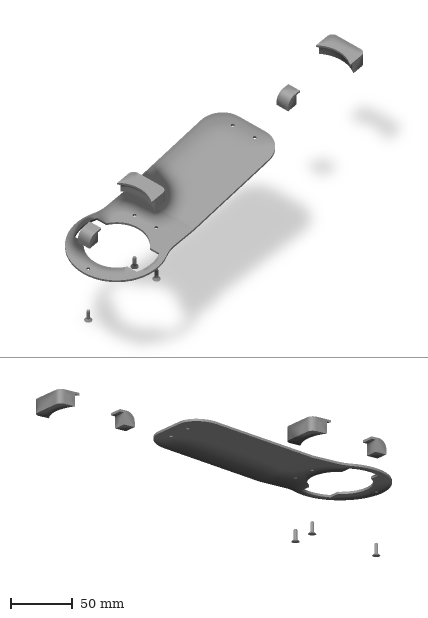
import cadquery as cq
import math


RING_RADIUS = 42.0
PADDLE_WIDTH = 72.0
PADDLE_END_Y = 171.5
PADDLE_CORNER_RADIUS = 22.0
NECK_BLEND_RADIUS = 33.5
BEND_Y = 53.8
BEND_ANGLE = 5.1
PLATE_THICKNESS = 2.0

OPENING_RADIUS = 27.0
NOTCH_RADIUS = 35.5
NOTCH_HEIGHT = 28.5

SCREW_RADIUS = 1.5
SCREW_TIP_RADIUS = 1.0
SCREW_TIP_LENGTH = 1.0
SCREW_HEAD_RADIUS = 3.5
SCREW_HEAD_HEIGHT = 2.0
SCREW_LENGTH = 10.8
SCREW_BOTTOM_Z = -56.8
SCREW_X = 11.5
SCREW_Y = 36.3
PADDLE_HOLE_Y = 161.0

GRIP_HEIGHT = 12.5
LIP_THICKNESS = 2.0
CLIP_WIDTH = 36.0
CLIP_CORNER_RADIUS = 5.5
CLIP_LIP_RADIUS = 28.5
CLIP_BLOCK_RADIUS = 32.0
HOOK_WIDTH = 12.0
HOOK_LENGTH = 14.8
HOOK_LIP_LENGTH = 4.0
HOOK_ROUND_RADIUS = 8.0

RAISED_PAIR = (0, 0, 29.5)
DISTANT_PAIR = (0, 252.0, 0)
PAIR_POSITIONS = [RAISED_PAIR, DISTANT_PAIR]

SCREW_POINTS = [(-SCREW_X, SCREW_Y), (SCREW_X, SCREW_Y), (0, -SCREW_Y)]
PADDLE_HOLE_POINTS = [(-SCREW_X, PADDLE_HOLE_Y), (SCREW_X, PADDLE_HOLE_Y)]


def paddle_rise(y):
    """Height of the plate's top surface at a distance y beyond the bend."""
    return (y - BEND_Y) * math.tan(math.radians(BEND_ANGLE))


PADDLE_END_Z = paddle_rise(PADDLE_END_Y)
CUT_BOTTOM_Z = -2 * PLATE_THICKNESS
CUT_HEIGHT = PADDLE_END_Z - 2 * CUT_BOTTOM_Z


def make_bent_sheet():
    """Sheet of even thickness, flat up to the bend and sloping upward after it."""
    half_angle = math.radians(BEND_ANGLE / 2)
    slope = math.radians(BEND_ANGLE)
    inner_bend_y = BEND_Y + PLATE_THICKNESS * math.tan(half_angle)
    end_bottom_z = PADDLE_END_Z - PLATE_THICKNESS / math.cos(slope)
    profile = [
        (-RING_RADIUS, 0),
        (BEND_Y, 0),
        (PADDLE_END_Y, PADDLE_END_Z),
        (PADDLE_END_Y, end_bottom_z),
        (inner_bend_y, -PLATE_THICKNESS),
        (-RING_RADIUS, -PLATE_THICKNESS),
    ]
    return cq.Workplane("YZ").polyline(profile).close().extrude(RING_RADIUS, both=True)


def make_plate_outline():
    """Upright prism with the plan outline of the plate."""
    half_width = PADDLE_WIDTH / 2
    blend_x = half_width + NECK_BLEND_RADIUS
    blend_y = math.sqrt((RING_RADIUS + NECK_BLEND_RADIUS) ** 2 - blend_x**2)
    ring_share = RING_RADIUS / (RING_RADIUS + NECK_BLEND_RADIUS)
    touch_x = blend_x * ring_share
    touch_y = blend_y * ring_share
    corner_x = half_width - PADDLE_CORNER_RADIUS
    corner_y = PADDLE_END_Y - PADDLE_CORNER_RADIUS
    return (
        cq.Workplane("XY", origin=(0, 0, CUT_BOTTOM_Z))
        .moveTo(touch_x, touch_y)
        .threePointArc((0, -RING_RADIUS), (-touch_x, touch_y))
        .radiusArc((-half_width, blend_y), -NECK_BLEND_RADIUS)
        .lineTo(-half_width, corner_y)
        .radiusArc((-corner_x, PADDLE_END_Y), PADDLE_CORNER_RADIUS)
        .lineTo(corner_x, PADDLE_END_Y)
        .radiusArc((half_width, corner_y), PADDLE_CORNER_RADIUS)
        .lineTo(half_width, blend_y)
        .radiusArc((touch_x, touch_y), -NECK_BLEND_RADIUS)
        .close()
        .extrude(CUT_HEIGHT)
    )


def make_opening():
    """Cutter for the round hole and the notch across it."""
    base = cq.Workplane("XY", origin=(0, 0, CUT_BOTTOM_Z))
    hole = base.circle(OPENING_RADIUS).extrude(CUT_HEIGHT)
    notch_band = base.rect(2 * NOTCH_RADIUS, NOTCH_HEIGHT).extrude(CUT_HEIGHT)
    notch = base.circle(NOTCH_RADIUS).extrude(CUT_HEIGHT).intersect(notch_band)
    return hole.union(notch)


def make_plate():
    screw_holes = (
        cq.Workplane("XY", origin=(0, 0, CUT_BOTTOM_Z))
        .pushPoints(SCREW_POINTS + PADDLE_HOLE_POINTS)
        .circle(SCREW_RADIUS)
        .extrude(CUT_HEIGHT)
    )
    sheet = make_bent_sheet().intersect(make_plate_outline())
    return sheet.cut(make_opening()).cut(screw_holes)


def make_clip():
    """Wide block with rounded outer corners, its inner side and lip curved around the ring centre."""
    depth = RING_RADIUS
    body = (
        cq.Workplane("XY")
        .rect(CLIP_WIDTH, 2 * depth)
        .extrude(GRIP_HEIGHT)
        .edges("|Z and >Y")
        .fillet(CLIP_CORNER_RADIUS)
    )
    near_half = cq.Workplane("XY").center(0, -depth / 2).rect(CLIP_WIDTH, depth).extrude(GRIP_HEIGHT)
    under_lip = cq.Workplane("XY").circle(CLIP_BLOCK_RADIUS).extrude(GRIP_HEIGHT - LIP_THICKNESS)
    inside_lip = cq.Workplane("XY").circle(CLIP_LIP_RADIUS).extrude(GRIP_HEIGHT)
    return body.cut(near_half).cut(under_lip).cut(inside_lip)


def make_hook():
    """Narrow block with a straight lip toward the ring centre and a rounded outer top edge."""
    outer_y = -RING_RADIUS
    lip_y = outer_y + HOOK_LENGTH
    block_y = lip_y - HOOK_LIP_LENGTH
    lip_z = GRIP_HEIGHT - LIP_THICKNESS
    return (
        cq.Workplane("YZ")
        .moveTo(outer_y, 0)
        .lineTo(block_y, 0)
        .lineTo(block_y, lip_z)
        .lineTo(lip_y, lip_z)
        .lineTo(lip_y, GRIP_HEIGHT)
        .lineTo(outer_y + HOOK_ROUND_RADIUS, GRIP_HEIGHT)
        .radiusArc((outer_y, GRIP_HEIGHT - HOOK_ROUND_RADIUS), -HOOK_ROUND_RADIUS)
        .close()
        .extrude(HOOK_WIDTH / 2, both=True)
    )


def make_screw():
    """Countersunk screw standing on its head, with a tapered tip at the top."""
    half_profile = [
        (0, 0),
        (SCREW_HEAD_RADIUS, 0),
        (SCREW_RADIUS, SCREW_HEAD_HEIGHT),
        (SCREW_RADIUS, SCREW_LENGTH - SCREW_TIP_LENGTH),
        (SCREW_TIP_RADIUS, SCREW_LENGTH),
        (0, SCREW_LENGTH),
    ]
    return cq.Workplane("XZ").polyline(half_profile).close().revolve(360, (0, 0, 0), (0, 1, 0))


plate = make_plate()
clips = [make_clip().translate(position) for position in PAIR_POSITIONS]
hooks = [make_hook().translate(position) for position in PAIR_POSITIONS]
screws = [make_screw().translate((x, y, SCREW_BOTTOM_Z)) for x, y in SCREW_POINTS]

result = cq.Compound.makeCompound([body.val() for body in [plate, *clips, *hooks, *screws]])